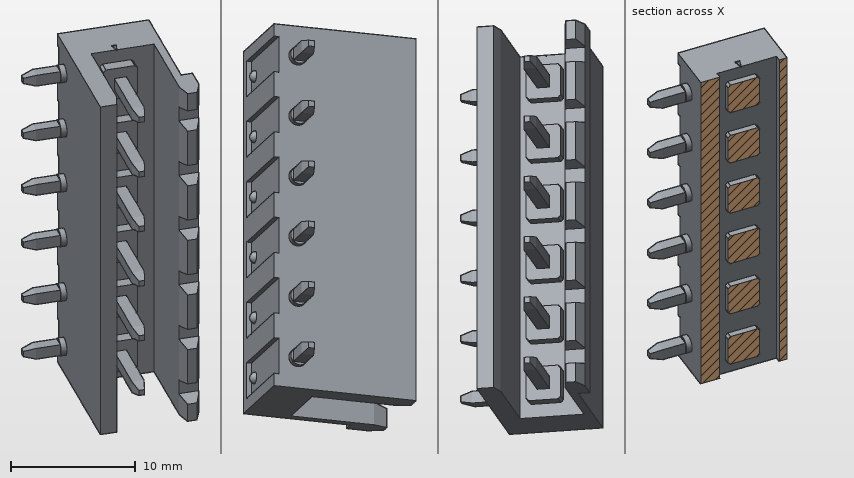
import cadquery as cq


pole_count = 6
housing_length = 30.48
pole_pitch = housing_length / pole_count
housing_depth = 12.0
housing_height = 7.65
base_thickness = 3.78
lower_wall = 1.7
upper_wall = 0.7
upper_wall_inside = housing_height - upper_wall

latch_start = 9.02
latch_rise = 0.95
latch_top = housing_height + latch_rise
mouth_taper_length = 1.2
mouth_taper_drop = 0.35
latch_taper_drop = 0.52
taper_start = housing_depth - mouth_taper_length

notch_mouth_width = 1.9
notch_inner_width = 1.25
notch_depth = 1.28

recess_width = 3.0
recess_height = 6.8
recess_depth = 0.4
dome_base_radius = 0.5
dome_height = recess_depth
dome_center_y = 6.0
dome_embed = 0.03

pin_width = 1.0
pin_tip_width = 0.5
pin_taper_length = 1.0
contact_length = 6.95
contact_y = 3.85
contact_collar_width = 2.83
contact_collar_length = 0.98
contact_collar_chamfer = 0.2
tail_length = 3.5
tail_x = 1.98
tail_collar_radius = 0.73
tail_collar_length = 0.5

mark_length = 0.75
mark_width = 0.43
mark_depth = 0.1


def make_housing():
    """U-shaped channel with the latch rail along the outside of the upper wall."""
    outline = [
        (0, 0),
        (housing_depth, 0),
        (housing_depth, lower_wall - mouth_taper_drop),
        (taper_start, lower_wall),
        (base_thickness, lower_wall),
        (base_thickness, upper_wall_inside),
        (taper_start, upper_wall_inside),
        (housing_depth, upper_wall_inside + mouth_taper_drop),
        (housing_depth, latch_top - latch_taper_drop),
        (taper_start, latch_top),
        (latch_start, latch_top),
        (latch_start, housing_height),
        (0, housing_height),
    ]
    return cq.Workplane("XY").polyline(outline).close().extrude(housing_length)


def make_notch(pole_z):
    """Cutter for one tapered coding notch, open at the mouth and through the upper wall."""
    notch_inner_x = housing_depth - notch_depth
    outline = [
        (housing_depth, pole_z - notch_mouth_width / 2),
        (housing_depth, pole_z + notch_mouth_width / 2),
        (notch_inner_x, pole_z + notch_inner_width / 2),
        (notch_inner_x, pole_z - notch_inner_width / 2),
    ]
    channel_side = cq.Workplane("XZ", origin=(0, lower_wall, 0))
    return channel_side.polyline(outline).close().extrude(lower_wall - latch_top)


def make_recess(pole_z):
    """Cutter for one rear recess, open at the back and at the board face."""
    return (
        cq.Workplane("XY")
        .box(recess_depth, recess_height, recess_width, centered=(False, False, True))
        .translate((0, 0, pole_z))
    )


def make_dome(pole_z):
    """Spherical cap on the recess floor, with its top level with the back face."""
    sphere_radius = (dome_base_radius**2 + dome_height**2) / (2 * dome_height)
    sphere = cq.Workplane("XY").sphere(sphere_radius).translate((sphere_radius, dome_center_y, pole_z))
    cap_length = dome_height + dome_embed
    cap_region = (
        cq.Workplane("XY")
        .box(cap_length, 2 * sphere_radius, 2 * sphere_radius, centered=(False, True, True))
        .translate((0, dome_center_y, pole_z))
    )
    return sphere.intersect(cap_region)


def make_pin(base_plane, length):
    """Square pin with a tapered tip, standing on the given plane."""
    straight_length = length - pin_taper_length
    shank = cq.Workplane(base_plane).rect(pin_width, pin_width).extrude(straight_length)
    tip = (
        shank.faces(cq.selectors.DirectionMinMaxSelector(base_plane.zDir, True))
        .workplane()
        .rect(pin_width, pin_width)
        .workplane(offset=pin_taper_length)
        .rect(pin_tip_width, pin_tip_width)
        .loft(combine=False)
    )
    return shank.union(tip)


def make_contact(pole_z):
    """Mating pin with its chamfered square collar on the channel floor."""
    floor_plane = cq.Plane(origin=(base_thickness, contact_y, pole_z), xDir=(0, 1, 0), normal=(1, 0, 0))
    collar = (
        cq.Workplane(floor_plane)
        .rect(contact_collar_width, contact_collar_width)
        .extrude(contact_collar_length)
        .edges("|X")
        .chamfer(contact_collar_chamfer)
    )
    return make_pin(floor_plane, contact_length).union(collar)


def make_tail(pole_z):
    """Solder pin with its round collar on the board face."""
    board_plane = cq.Plane(origin=(tail_x, 0, pole_z), xDir=(1, 0, 0), normal=(0, -1, 0))
    collar = cq.Workplane(board_plane).circle(tail_collar_radius).extrude(tail_collar_length)
    return make_pin(board_plane, tail_length).union(collar)


def make_mark():
    """Cutter for the triangular mark, its point on the edge of the channel floor."""
    mark_base_x = base_thickness - mark_length
    triangle = [
        (base_thickness, contact_y),
        (mark_base_x, contact_y + mark_width / 2),
        (mark_base_x, contact_y - mark_width / 2),
    ]
    mark_floor = cq.Workplane("XY", origin=(0, 0, housing_length - mark_depth))
    return mark_floor.polyline(triangle).close().extrude(mark_depth)


result = make_housing().cut(make_mark())

for pole in range(pole_count):
    pole_z = (pole + 0.5) * pole_pitch
    result = result.cut(make_recess(pole_z)).cut(make_notch(pole_z))
    result = result.union(make_dome(pole_z))
    result = result.union(make_contact(pole_z)).union(make_tail(pole_z))